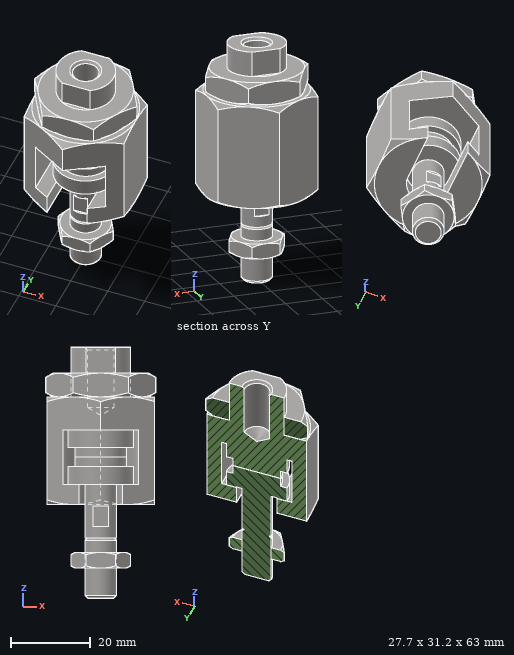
import cadquery as cq
import math


CHAMFER_ANGLE = 30.0

TOTAL_HEIGHT = 63.0
TOP_NUT_TOP = 56.5
HOUSING_TOP = 50.5
SLOT_CEILING = 42.3
SLOT_FLOOR = 28.6
HOUSING_BOTTOM = 23.5
CONTACT_HEIGHT = (SLOT_CEILING + SLOT_FLOOR) / 2
DISC_THICKNESS = 4.4

HOUSING_FLATS = 27.0
SLOT_WIDTH = 18.9
NECK_SLOT_WIDTH = 10.9

SPIGOT_DIAMETER = 15.0
SPIGOT_FLATS = 13.0
BORE_DIAMETER = 6.7
BORE_MOUTH_DIAMETER = 8.0
BORE_DEPTH = 15.1
DRILL_POINT_ANGLE = 118.0

DISC_DIAMETER = 16.5
HUB_DIAMETER = 13.0

STUD_DIAMETER = 8.0
STUD_TIP_CHAMFER = 0.75
WRENCH_FLATS = 7.0
WRENCH_FLAT_TOP = 23.1
WRENCH_FLAT_BOTTOM = 18.0
GROOVE_TOP = 15.1
GROOVE_DEPTH = 0.55

TOP_NUT_FLATS = 24.0
STUD_NUT_FLATS = 13.0
STUD_NUT_BOTTOM = 7.55
STUD_NUT_TOP = 11.5


def cylinder(diameter, bottom, top):
    return cq.Workplane("XY").workplane(offset=bottom).circle(diameter / 2).extrude(top - bottom)


def chamfered_hexagon(flats, bottom, top, corner_angle):
    """Hexagon bar with a corner at corner_angle and both ends turned down to the inscribed circle."""
    inner_radius = flats / 2
    corner_radius = inner_radius / math.cos(math.pi / 6)
    drop = (corner_radius - inner_radius) * math.tan(math.radians(CHAMFER_ANGLE))
    hexagon = (
        cq.Workplane("XY")
        .workplane(offset=bottom)
        .polygon(6, 2 * corner_radius)
        .extrude(top - bottom)
        .rotate((0, 0, 0), (0, 0, 1), corner_angle)
    )
    turned_envelope = (
        cq.Workplane("XZ")
        .moveTo(0, bottom)
        .lineTo(inner_radius, bottom)
        .lineTo(corner_radius, bottom + drop)
        .lineTo(corner_radius, top - drop)
        .lineTo(inner_radius, top)
        .lineTo(0, top)
        .close()
        .revolve(360, (0, 0), (0, 1))
    )
    return hexagon.intersect(turned_envelope)


def side_slot(width, bottom, top):
    """Slot with a round end on the axis that opens through the -Y side."""
    height = top - bottom
    straight_part = (
        cq.Workplane("XY")
        .box(width, HOUSING_FLATS, height, centered=(True, False, False))
        .translate((0, -HOUSING_FLATS, bottom))
    )
    return straight_part.union(cylinder(width, bottom, top))


def flat_sides(across_flats, bottom, top):
    """Two blocks that cut parallel flats facing -Y and +Y."""
    size = SPIGOT_DIAMETER
    block = cq.Workplane("XY").box(size, size, top - bottom, centered=(True, False, False))
    front = block.translate((0, -across_flats / 2 - size, bottom))
    return front.union(block.translate((0, across_flats / 2, bottom)))


def threaded_bore():
    """Blind hole with a 45 degree mouth chamfer and a drill point."""
    radius = BORE_DIAMETER / 2
    mouth_radius = BORE_MOUTH_DIAMETER / 2
    bore_bottom = TOTAL_HEIGHT - BORE_DEPTH
    point_length = radius / math.tan(math.radians(DRILL_POINT_ANGLE / 2))
    return (
        cq.Workplane("XZ")
        .moveTo(0, TOTAL_HEIGHT)
        .lineTo(mouth_radius, TOTAL_HEIGHT)
        .lineTo(radius, TOTAL_HEIGHT - (mouth_radius - radius))
        .lineTo(radius, bore_bottom)
        .lineTo(0, bore_bottom - point_length)
        .close()
        .revolve(360, (0, 0), (0, 1))
    )


def make_housing():
    """Slotted hexagon with a flatted, bored spigot on top and a disc and hub under the slot ceiling."""
    housing = chamfered_hexagon(HOUSING_FLATS, HOUSING_BOTTOM, HOUSING_TOP, corner_angle=90)
    housing = housing.cut(side_slot(SLOT_WIDTH, SLOT_FLOOR, SLOT_CEILING))
    housing = housing.cut(side_slot(NECK_SLOT_WIDTH, HOUSING_BOTTOM, SLOT_FLOOR))

    spigot = cylinder(SPIGOT_DIAMETER, HOUSING_TOP, TOTAL_HEIGHT)
    spigot = spigot.cut(flat_sides(SPIGOT_FLATS, TOP_NUT_TOP, TOTAL_HEIGHT))

    disc = cylinder(DISC_DIAMETER, SLOT_CEILING - DISC_THICKNESS, SLOT_CEILING)
    hub = cylinder(HUB_DIAMETER, CONTACT_HEIGHT, SLOT_CEILING - DISC_THICKNESS)
    return housing.union(spigot).union(disc).union(hub).cut(threaded_bore())


def make_stud():
    """Turned stud with a threaded end, a relief groove, a disc head and a pair of wrench flats."""
    radius = STUD_DIAMETER / 2
    disc_top = SLOT_FLOOR + DISC_THICKNESS
    stud = (
        cq.Workplane("XZ")
        .moveTo(0, 0)
        .lineTo(radius - STUD_TIP_CHAMFER, 0)
        .lineTo(radius, STUD_TIP_CHAMFER)
        .lineTo(radius, GROOVE_TOP - GROOVE_DEPTH)
        .lineTo(radius - GROOVE_DEPTH, GROOVE_TOP)
        .lineTo(radius, GROOVE_TOP)
        .lineTo(radius, SLOT_FLOOR)
        .lineTo(DISC_DIAMETER / 2, SLOT_FLOOR)
        .lineTo(DISC_DIAMETER / 2, disc_top)
        .lineTo(HUB_DIAMETER / 2, disc_top)
        .lineTo(HUB_DIAMETER / 2, CONTACT_HEIGHT)
        .lineTo(0, CONTACT_HEIGHT)
        .close()
        .revolve(360, (0, 0), (0, 1))
    )
    return stud.cut(flat_sides(WRENCH_FLATS, WRENCH_FLAT_BOTTOM, WRENCH_FLAT_TOP))


def make_nut(flats, hole_diameter, bottom, top):
    """Hexagon nut with corners on the X axis."""
    nut = chamfered_hexagon(flats, bottom, top, corner_angle=0)
    return nut.cut(cylinder(hole_diameter, bottom, top))


housing = make_housing()
stud = make_stud()
top_nut = make_nut(TOP_NUT_FLATS, SPIGOT_DIAMETER, HOUSING_TOP, TOP_NUT_TOP)
stud_nut = make_nut(STUD_NUT_FLATS, STUD_DIAMETER, STUD_NUT_BOTTOM, STUD_NUT_TOP)

result = cq.Compound.makeCompound([housing.val(), stud.val(), top_nut.val(), stud_nut.val()])